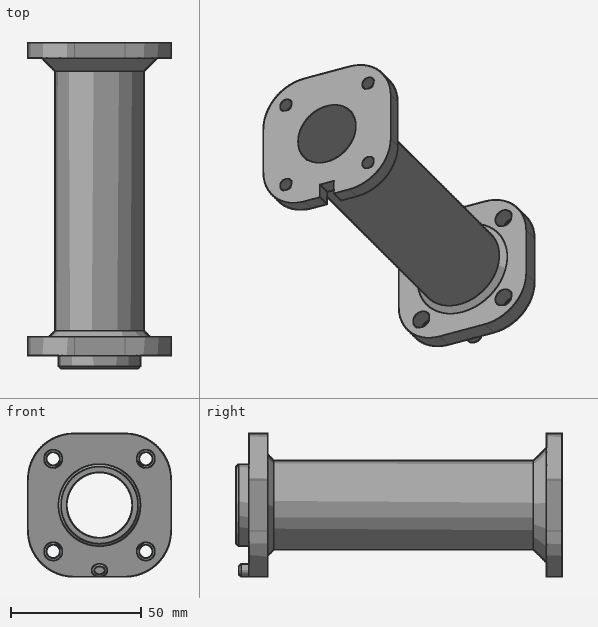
import cadquery as cq

total_length = 125.0
flange_width = 55.0
corner_radius = 17.8

spigot_length = 5.0
front_flange_thickness = 7.2
rear_flange_thickness = 6.0
front_cone_length = 2.2
rear_cone_length = 5.0

tube_radius = 17.1
bore_radius = 12.5
spigot_radius = 15.8
spigot_chamfer = 1.0

hole_offset = 17.8
front_hole_diameter = 7.0
rear_hole_diameter = 5.0

pin_half_width = 3.0
pin_half_height = 2.5
pin_straight_length = 3.0
pin_chamfer = 1.0

notch_width = 2 * pin_half_width
notch_depth = 5.6

front_flange_start = spigot_length
front_flange_end = front_flange_start + front_flange_thickness
front_cone_end = front_flange_end + front_cone_length
rear_flange_start = total_length - rear_flange_thickness
rear_cone_start = rear_flange_start - rear_cone_length


def section_plane(y):
    """Plane across the axis, with local x along X, local y along Z and its normal toward -Y."""
    return cq.Workplane("XZ", origin=(0, y, 0))


def flange(start, thickness, hole_diameter):
    """Square flange with rounded corners and four plain holes."""
    plate = (
        section_plane(start)
        .rect(flange_width, flange_width)
        .extrude(-thickness)
        .edges("|Y")
        .fillet(corner_radius)
    )
    holes = (
        section_plane(start)
        .rect(2 * hole_offset, 2 * hole_offset, forConstruction=True)
        .vertices()
        .circle(hole_diameter / 2)
        .extrude(-thickness)
    )
    return plate.cut(holes)


def turned_core():
    """Solid spigot, tube and the 45 degree cones that carry the flanges."""
    profile = [
        (0, 0),
        (spigot_radius - spigot_chamfer, 0),
        (spigot_radius, spigot_chamfer),
        (spigot_radius, front_flange_end),
        (tube_radius + front_cone_length, front_flange_end),
        (tube_radius, front_cone_end),
        (tube_radius, rear_cone_start),
        (tube_radius + rear_cone_length, rear_flange_start),
        (tube_radius, rear_flange_start),
        (tube_radius, total_length),
        (0, total_length),
    ]
    return cq.Workplane("XY").polyline(profile).close().revolve(360, (0, 0, 0), (0, 1, 0))


def locating_pin():
    """Oval pin on the front flange face with a chamfered tip."""
    base = section_plane(front_flange_start).center(0, pin_half_height - flange_width / 2)
    shank = base.ellipse(pin_half_width, pin_half_height).extrude(pin_straight_length)
    tip = (
        base.workplane(offset=pin_straight_length)
        .ellipse(pin_half_width, pin_half_height)
        .workplane(offset=pin_chamfer)
        .ellipse(pin_half_width - pin_chamfer, pin_half_height - pin_chamfer)
        .loft(combine=False)
    )
    return shank.union(tip)


def pin_notch():
    """Volume of the open notch through the rear flange, in line with the pin."""
    return (
        section_plane(rear_flange_start)
        .center(0, (notch_depth - flange_width) / 2)
        .rect(notch_width, notch_depth)
        .extrude(-rear_flange_thickness)
    )


bore = section_plane(0).circle(bore_radius).extrude(-total_length)

result = (
    turned_core()
    .union(flange(front_flange_start, front_flange_thickness, front_hole_diameter))
    .union(flange(rear_flange_start, rear_flange_thickness, rear_hole_diameter))
    .union(locating_pin())
    .cut(pin_notch())
    .cut(bore)
)